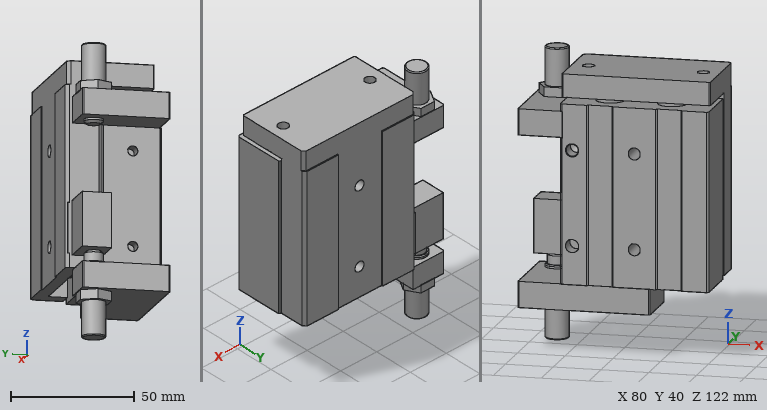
import cadquery as cq
import math

side_x = 17.9
width = 62.1
right_x = side_x + width
mid_x = side_x + width / 2
body_back_y = 24.9
body_bottom_z = 29.8
body_top_z = 105.2
front_edge = 0.7
groove_depth = 0.7
groove_slope = 0.6
body_back_edge = 0.5
plate_edge = 0.5

center_band_half = 8.9
side_band_inner = 20.0

hole_dia = 5.0
hole_z = (46.0, 86.0)
side_hole_dia = 4.1
side_hole_y = 12.1
side_hole_z = (41.0, 80.8)
side_hole_depth = 6.1
port_x = 22.9
port_dia = 5.5
port_depth = 7.3
drill_point = 1.2
bore_dia = 6.0
bore_x = 75.0
bore_y = 16.6

table_front_y = 26.2
table_back_y = 40.0
table_bottom_z = 30.9
table_top_z = 107.2
back_chamfer = 1.5
channel_half = 23.3
channel_depth = 7.9
recess_half = 12.2
recess_depth = 0.6
rail_bottom_z = 39.0

end_front_y = 3.0
end_back_y = 39.4
end_thick = 9.8
end_hole_offset = 24.0
end_hole_y = 19.8
rod_dia = 12.0
rod_offset = 12.9
rod_y = 12.0

stop_front_y = 0.9
stop_back_y = 37.5
stop_thick = 11.0
lower_stop_length = 55.3
upper_stop_z = 90.9
bracket_inset = 1.0
table_clearance = 0.5
screw_x = 9.0
screw_y = 30.6
screw_dia = 10.0
screw_chamfer = 0.5
tip_dia = 8.0
tip_length = 4.9
tip_chamfer = 1.1
nut_sides = 6
nut_flats = 13.0
nut_corners = nut_flats / math.cos(math.pi / nut_sides)
nut_thick = 4.0
total_height = 122.0
upper_tip_z = 88.9
block_x = 0.6
block_front_y = 25.1
block_bottom_z = 36.0
block_top_z = 58.8
tongue_back_y = 39.3
tongue_inset = 0.9
tongue_depth = 2.5


def box(x0, x1, y0, y1, z0, z1):
    """Box between two corners."""
    return cq.Workplane("XY").box(x1 - x0, y1 - y0, z1 - z0, centered=False).translate((x0, y0, z0))


def rod(x, y, z0, z1, diameter):
    """Upright cylinder."""
    return cq.Workplane("XY", origin=(x, y, z0)).circle(diameter / 2).extrude(z1 - z0)


def mounting_holes(body):
    """Cut the mounting holes that run from front to back."""
    for z in hole_z:
        start = cq.Workplane("XZ", origin=(mid_x, 0, z))
        body = body.cut(start.circle(hole_dia / 2).extrude(-table_back_y))
    return body


def cylinder_body():
    """Grooved body with chamfered edges, extruded along Z."""
    right_half = [
        (center_band_half, 0),
        (center_band_half + groove_slope, groove_depth),
        (side_band_inner - groove_slope, groove_depth),
        (side_band_inner, 0),
        (width / 2 - front_edge, 0),
        (width / 2, front_edge),
        (width / 2, body_back_y - body_back_edge),
        (width / 2 - body_back_edge, body_back_y),
    ]
    left_half = [(-x, y) for x, y in reversed(right_half)]
    start = cq.Workplane("XY", origin=(mid_x, 0, body_bottom_z))
    return start.polyline(right_half + left_half).close().extrude(body_top_z - body_bottom_z)


def guide_rail():
    """Rail on the back of the body that fills the table's channel."""
    return box(mid_x - channel_half, mid_x + channel_half, body_back_y,
               table_front_y + channel_depth, rail_bottom_z, body_top_z)


def stop_plate(right_end, bottom_z):
    """Stop plate from the far left to right_end, cut back behind the body to clear the table."""
    top_z = bottom_z + stop_thick
    plate = box(0, right_end, stop_front_y, stop_back_y, bottom_z, top_z).edges("|Z").chamfer(plate_edge)
    clearance = box(side_x - table_clearance, right_x, body_back_y, table_back_y, bottom_z, top_z)
    return plate.cut(clearance)


def bracket_seat():
    """Cutter for the notch in the body side that holds the upper stop."""
    return box(side_x, side_x + bracket_inset, 0, body_back_y, upper_stop_z, upper_stop_z + stop_thick)


def stop_screw(head_z, tip_z, nut_face_z):
    """Stop screw from its outer end to its tip, with a nut against a stop plate."""
    shoulder = abs(tip_z - head_z) - tip_length
    start = cq.Workplane("XY").circle(screw_dia / 2).extrude(shoulder).edges().chamfer(screw_chamfer)
    tip = cq.Workplane("XY", origin=(0, 0, shoulder)).circle(tip_dia / 2).extrude(tip_length)
    screw = start.union(tip.faces(">Z").chamfer(tip_chamfer))
    nut_start = abs(nut_face_z - head_z) - nut_thick
    nut = cq.Workplane("XY", origin=(0, 0, nut_start)).polygon(nut_sides, nut_corners)
    screw = screw.union(nut.extrude(nut_thick))
    if tip_z < head_z:
        screw = screw.mirror("XY")
    return screw.translate((screw_x, screw_y, head_z))


def side_holes(body):
    """Cut the blind flat-bottomed holes in the left side."""
    for z in side_hole_z:
        start = cq.Workplane("YZ", origin=(side_x, side_hole_y, z))
        body = body.cut(start.circle(side_hole_dia / 2).extrude(side_hole_depth))
    return body


def ports(body):
    """Cut the blind ports in the front; the upper one is countersunk and drill pointed."""
    lower_z, upper_z = hole_z
    start = cq.Workplane("XZ", origin=(port_x, 0, lower_z))
    body = body.cut(start.circle(port_dia / 2).extrude(-port_depth))
    radius = hole_dia / 2
    profile = [
        (0, 0),
        (port_dia / 2, 0),
        (radius, port_dia / 2 - radius),
        (radius, port_depth),
        (0, port_depth + drill_point),
    ]
    drill = cq.Workplane("XY").polyline(profile).close().revolve(360, (0, 0, 0), (0, 1, 0))
    return body.cut(drill.translate((port_x, 0, upper_z)))


def make_housing():
    body = cylinder_body().cut(bracket_seat()).union(guide_rail())
    body = body.cut(rod(bore_x, bore_y, body_bottom_z, body_top_z, bore_dia))
    body = ports(side_holes(mounting_holes(body)))
    upper_nut_face = upper_stop_z + stop_thick
    lower_nut_face = body_bottom_z - stop_thick
    for piece in (
        stop_plate(lower_stop_length, lower_nut_face),
        stop_plate(side_x + bracket_inset, upper_stop_z),
        stop_screw(0, block_bottom_z, lower_nut_face),
        stop_screw(total_height, upper_tip_z, upper_nut_face),
    ):
        body = body.union(piece)
    return body


def slide():
    """Flat slide with a channel in front and a shallow recess in the back."""
    plate = box(side_x, right_x, table_front_y, table_back_y, table_bottom_z, table_top_z)
    plate = plate.edges("|Z and >Y").chamfer(back_chamfer)
    channel = box(mid_x - channel_half, mid_x + channel_half, table_front_y,
                  table_front_y + channel_depth, table_bottom_z, table_top_z)
    recess = box(mid_x - recess_half, mid_x + recess_half, table_back_y - recess_depth,
                 table_back_y, table_bottom_z, table_top_z)
    return plate.cut(channel).cut(recess)


def end_plate():
    """Plate across the top of the slide, with two through holes."""
    top_z = table_top_z + end_thick
    plate = box(side_x, right_x, end_front_y, end_back_y, table_top_z, top_z)
    plate = plate.edges("|Z and >Y").chamfer(back_chamfer)
    plate = plate.edges("|Z and <Y").chamfer(plate_edge)
    for side in (-1, 1):
        plate = plate.cut(rod(mid_x + side * end_hole_offset, end_hole_y, table_top_z, top_z, hole_dia))
    return plate


def stop_block():
    """Block between the stop screws, with a tongue let into the slide's left side."""
    block = box(block_x, side_x, block_front_y, stop_back_y, block_bottom_z, block_top_z)
    tongue = box(side_x, side_x + tongue_depth, table_front_y, tongue_back_y,
                 block_bottom_z + tongue_inset, block_top_z - tongue_inset)
    return block.union(tongue)


def make_table():
    table = mounting_holes(slide()).union(end_plate()).union(stop_block())
    for side in (-1, 1):
        table = table.union(rod(mid_x + side * rod_offset, rod_y, body_top_z, table_top_z, rod_dia))
    return table


housing = make_housing()
table = make_table()
result = cq.Compound.makeCompound([housing.solids().val(), table.solids().val()])